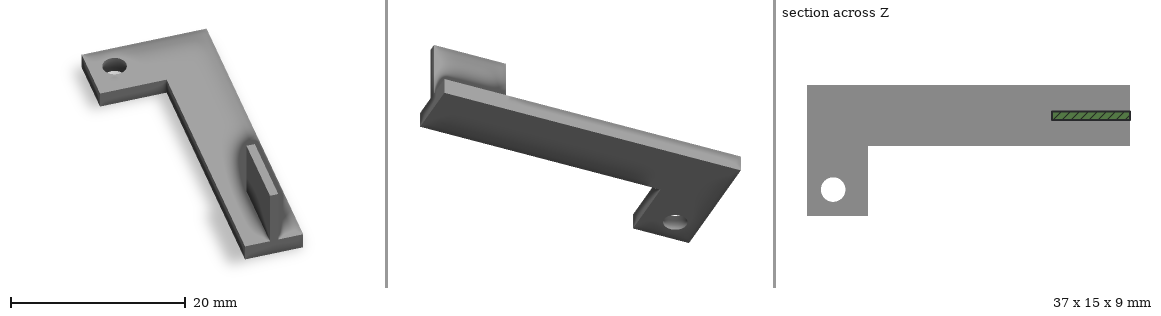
import cadquery as cq

length = 37.0
depth = 15.0
height = 9.0

plate_thickness = 2.0
arm_width = 7.0

hole_diameter = 2.8
hole_edge_distance = 3.0

tab_length = 9.0
tab_thickness = 1.0
tab_back_setback = 3.0


def make_plate():
    """L-shaped plate with its short arm pointing toward -Y."""
    long_arm = cq.Workplane("XY").box(length, arm_width, plate_thickness, centered=False)
    long_arm = long_arm.translate((0, depth - arm_width, 0))
    short_arm = cq.Workplane("XY").box(arm_width, depth, plate_thickness, centered=False)
    return long_arm.union(short_arm)


def make_tab():
    """Thin upright tab, flush with the +X end of the plate."""
    tab = cq.Workplane("XY").box(tab_length, tab_thickness, height, centered=False)
    return tab.translate((length - tab_length, depth - tab_back_setback - tab_thickness, 0))


def make_hole():
    """Cutter for the through hole in the short arm."""
    return (
        cq.Workplane("XY")
        .center(hole_edge_distance, hole_edge_distance)
        .circle(hole_diameter / 2)
        .extrude(plate_thickness)
    )


result = make_plate().union(make_tab()).cut(make_hole()).clean()